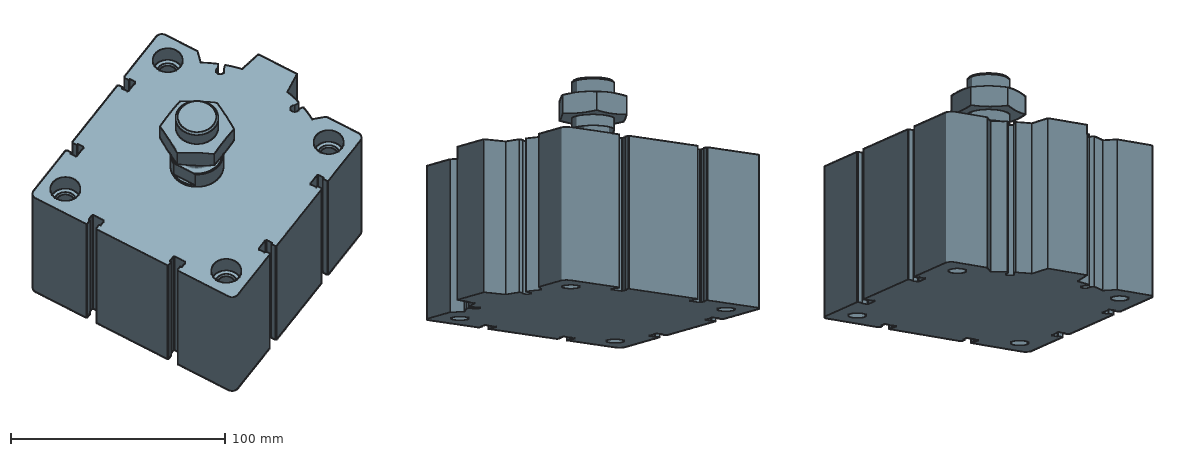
import cadquery as cq
import math

PICK_MARGIN = 0.5

HOUSING_SIDE = 113.0
HOUSING_HEIGHT = 73.0
CORNER_RADIUS = 3.2
HALF_SIDE = HOUSING_SIDE / 2

RAIL_TOP_Y = 70.2
RAIL_TOP_WIDTH = 21.4
RAIL_BASE_WIDTH = 25.0
BARREL_RADIUS = 60.2
NOTCH_OUTER_X = 35.6

GROOVE_ANGLE = 21.4
GROOVE_CENTER_RADIUS = 56.4
GROOVE_DIAMETER = 4.0
GROOVE_NECK_WIDTH = 3.0
GROOVE_MOUTH_FILLET = 0.6

SLOT_OFFSET = 22.5
SLOT_NECK_WIDTH = 5.0
SLOT_HEAD_WIDTH = 6.6
SLOT_NECK_DEPTH = 2.8
SLOT_DEPTH = 6.2
SLOT_MOUTH_CHAMFER = 0.4
SLOT_HEAD_CHAMFER = 0.4

HOLE_PITCH = 89.0
HOLE_DIAMETER = 8.38
HOLE_COUNTERSINK_DIAMETER = 10.0
COUNTERBORE_DIAMETER = 14.0
COUNTERBORE_DEPTH = 9.0

ROD_LENGTH = 38.0
COLLAR_DIAMETER = 25.0
COLLAR_HEIGHT = 10.0
COLLAR_CHAMFER = 0.4
WRENCH_FLAT_DISTANCE = 22.0
WRENCH_FLAT_START = 1.35
NECK_DIAMETER = 17.9
NECK_HEIGHT = 2.2
NECK_BASE_FILLET = 0.7
NECK_TOP_FILLET = 1.0
THREAD_DIAMETER = 20.0
THREAD_START = 14.8
THREAD_CHAMFER = 1.0

NUT_ACROSS_FLATS = 30.0
NUT_HEIGHT = 10.0
NUT_TOP_BELOW_ROD_END = 8.0
NUT_CHAMFER_ANGLE = 15.0


def point_on_barrel(x):
    return (x, math.sqrt(BARREL_RADIUS**2 - x**2))


def housing_blank():
    """Square profile with the sensor rail and its notches on the +Y side."""
    flank_offset = HALF_SIDE - NOTCH_OUTER_X
    notch_root_x = (math.sqrt(2 * BARREL_RADIUS**2 - flank_offset**2) - flank_offset) / 2
    rail_base_x = RAIL_BASE_WIDTH / 2
    rail_top_x = RAIL_TOP_WIDTH / 2
    barrel_mid_x = (notch_root_x + rail_base_x) / 2
    profile = (
        cq.Workplane("XY")
        .moveTo(-HALF_SIDE, -HALF_SIDE)
        .lineTo(HALF_SIDE, -HALF_SIDE)
        .lineTo(HALF_SIDE, HALF_SIDE)
        .lineTo(NOTCH_OUTER_X, HALF_SIDE)
        .lineTo(*point_on_barrel(notch_root_x))
        .threePointArc(point_on_barrel(barrel_mid_x), point_on_barrel(rail_base_x))
        .lineTo(rail_top_x, RAIL_TOP_Y)
        .lineTo(-rail_top_x, RAIL_TOP_Y)
        .lineTo(*point_on_barrel(-rail_base_x))
        .threePointArc(point_on_barrel(-barrel_mid_x), point_on_barrel(-notch_root_x))
        .lineTo(-NOTCH_OUTER_X, HALF_SIDE)
        .lineTo(-HALF_SIDE, HALF_SIDE)
        .close()
    )
    blank = profile.extrude(HOUSING_HEIGHT)
    for x in (-HALF_SIDE, HALF_SIDE):
        for y in (-HALF_SIDE, HALF_SIDE):
            at_corner = cq.selectors.BoxSelector(
                (x - PICK_MARGIN, y - PICK_MARGIN, 0),
                (x + PICK_MARGIN, y + PICK_MARGIN, HOUSING_HEIGHT),
            )
            blank = blank.edges("|Z").edges(at_corner).fillet(CORNER_RADIUS)
    return blank


def sensor_groove(angle):
    """Cutter for a round groove with a narrow, flared neck, turned by angle from +Y."""
    half_neck = GROOVE_NECK_WIDTH / 2
    flare = GROOVE_MOUTH_FILLET
    flare_start = BARREL_RADIUS - flare
    arc_inset = flare * (1 - math.sqrt(0.5))
    neck = (
        cq.Workplane("XY")
        .moveTo(-half_neck, GROOVE_CENTER_RADIUS)
        .lineTo(half_neck, GROOVE_CENTER_RADIUS)
        .lineTo(half_neck, flare_start)
        .threePointArc(
            (half_neck + arc_inset, BARREL_RADIUS - arc_inset),
            (half_neck + flare, BARREL_RADIUS),
        )
        .lineTo(-half_neck - flare, BARREL_RADIUS)
        .threePointArc(
            (-half_neck - arc_inset, BARREL_RADIUS - arc_inset),
            (-half_neck, flare_start),
        )
        .close()
        .extrude(HOUSING_HEIGHT)
    )
    bulb = (
        cq.Workplane("XY")
        .center(0, GROOVE_CENTER_RADIUS)
        .circle(GROOVE_DIAMETER / 2)
        .extrude(HOUSING_HEIGHT)
    )
    return neck.union(bulb).rotate((0, 0, 0), (0, 0, 1), angle)


def t_slot(offset, side_angle):
    """Cutter for a T-slot in the -Y side at X = offset, turned to another side by side_angle."""
    neck_x = SLOT_NECK_WIDTH / 2
    head_x = SLOT_HEAD_WIDTH / 2
    mouth_x = neck_x + SLOT_MOUTH_CHAMFER
    floor_x = head_x - SLOT_HEAD_CHAMFER
    half_profile = [
        (mouth_x, 0),
        (neck_x, SLOT_MOUTH_CHAMFER),
        (neck_x, SLOT_NECK_DEPTH),
        (head_x, SLOT_NECK_DEPTH),
        (head_x, SLOT_DEPTH - SLOT_HEAD_CHAMFER),
        (floor_x, SLOT_DEPTH),
    ]
    mirrored_half = [(-x, depth) for x, depth in reversed(half_profile)]
    slot = (
        cq.Workplane("XY")
        .polyline(half_profile + mirrored_half)
        .close()
        .extrude(HOUSING_HEIGHT)
        .translate((offset, -HALF_SIDE, 0))
    )
    return slot.rotate((0, 0, 0), (0, 0, 1), side_angle)


def mounting_hole():
    """Cutter for one through hole with a countersunk counterbore, on the Z axis."""
    seat_z = HOUSING_HEIGHT - COUNTERBORE_DEPTH
    hole_radius = HOLE_DIAMETER / 2
    sink_radius = HOLE_COUNTERSINK_DIAMETER / 2
    bore_radius = COUNTERBORE_DIAMETER / 2
    return (
        cq.Workplane("XZ")
        .polyline([
            (0, 0),
            (hole_radius, 0),
            (hole_radius, seat_z - (sink_radius - hole_radius)),
            (sink_radius, seat_z),
            (bore_radius, seat_z),
            (bore_radius, HOUSING_HEIGHT),
            (0, HOUSING_HEIGHT),
        ])
        .close()
        .revolve(360, (0, 0, 0), (0, 1, 0))
    )


def make_housing():
    housing = housing_blank()
    for angle in (-GROOVE_ANGLE, GROOVE_ANGLE):
        housing = housing.cut(sensor_groove(angle))
    for side_angle in (-90, 0, 90):
        for offset in (-SLOT_OFFSET, SLOT_OFFSET):
            housing = housing.cut(t_slot(offset, side_angle))
    for x in (-HOLE_PITCH / 2, HOLE_PITCH / 2):
        for y in (-HOLE_PITCH / 2, HOLE_PITCH / 2):
            housing = housing.cut(mounting_hole().translate((x, y, 0)))
    return housing


def make_rod():
    """Rod end standing on the housing: collar with two wrench flats, neck and threaded end."""
    collar_radius = COLLAR_DIAMETER / 2
    neck_radius = NECK_DIAMETER / 2
    thread_radius = THREAD_DIAMETER / 2
    neck_top = COLLAR_HEIGHT + NECK_HEIGHT
    profile = (
        cq.Workplane("XZ")
        .polyline([
            (0, 0),
            (collar_radius, 0),
            (collar_radius, COLLAR_HEIGHT - COLLAR_CHAMFER),
            (collar_radius - COLLAR_CHAMFER, COLLAR_HEIGHT),
            (neck_radius, COLLAR_HEIGHT),
            (neck_radius, neck_top),
            (thread_radius, THREAD_START),
            (thread_radius, ROD_LENGTH - THREAD_CHAMFER),
            (thread_radius - THREAD_CHAMFER, ROD_LENGTH),
            (0, ROD_LENGTH),
        ])
        .close()
    )
    rod = profile.revolve(360, (0, 0, 0), (0, 1, 0))
    for edge_z, fillet_radius in ((COLLAR_HEIGHT, NECK_BASE_FILLET), (neck_top, NECK_TOP_FILLET)):
        reach = neck_radius + PICK_MARGIN
        around_neck = cq.selectors.BoxSelector(
            (-reach, -reach, edge_z - PICK_MARGIN),
            (reach, reach, edge_z + PICK_MARGIN),
            boundingbox=True,
        )
        rod = rod.edges("%CIRCLE").edges(around_neck).fillet(fillet_radius)
    flat_height = COLLAR_HEIGHT - WRENCH_FLAT_START
    flat_depth = (COLLAR_DIAMETER - WRENCH_FLAT_DISTANCE) / 2
    for side in (-1, 1):
        flat_cutter = (
            cq.Workplane("XY")
            .box(COLLAR_DIAMETER, flat_depth, flat_height, centered=(True, True, False))
            .translate((0, side * (WRENCH_FLAT_DISTANCE + flat_depth) / 2, WRENCH_FLAT_START))
        )
        rod = rod.cut(flat_cutter)
    return rod.translate((0, 0, HOUSING_HEIGHT))


def make_nut():
    """Hexagon nut with two corners on the Y axis and both faces chamfered round."""
    flat_radius = NUT_ACROSS_FLATS / 2
    corner_radius = flat_radius / math.cos(math.radians(30))
    chamfer_drop = (corner_radius - flat_radius) * math.tan(math.radians(NUT_CHAMFER_ANGLE))
    hexagon = (
        cq.Workplane("XY")
        .polygon(6, 2 * corner_radius)
        .extrude(NUT_HEIGHT)
        .rotate((0, 0, 0), (0, 0, 1), 30)
    )
    chamfer_envelope = (
        cq.Workplane("XZ")
        .polyline([
            (0, 0),
            (flat_radius, 0),
            (corner_radius, chamfer_drop),
            (corner_radius, NUT_HEIGHT - chamfer_drop),
            (flat_radius, NUT_HEIGHT),
            (0, NUT_HEIGHT),
        ])
        .close()
        .revolve(360, (0, 0, 0), (0, 1, 0))
    )
    bore = cq.Workplane("XY").circle(THREAD_DIAMETER / 2).extrude(NUT_HEIGHT)
    nut = hexagon.intersect(chamfer_envelope).cut(bore)
    nut_bottom = HOUSING_HEIGHT + ROD_LENGTH - NUT_TOP_BELOW_ROD_END - NUT_HEIGHT
    return nut.translate((0, 0, nut_bottom))


housing = make_housing()
rod = make_rod()
nut = make_nut()

result = cq.Compound.makeCompound([housing.val(), rod.val(), nut.val()])